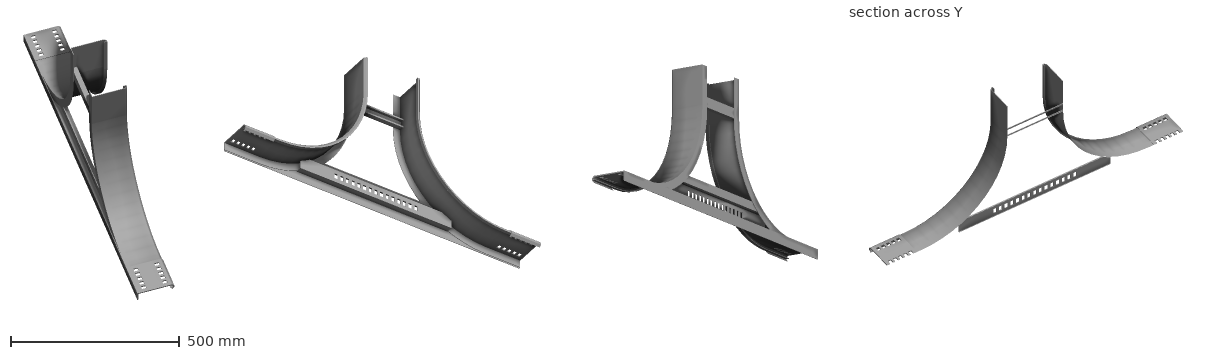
import cadquery as cq
import math


LENGTH = 1050.0
WIDTH = 115.0
HEIGHT = 456.0
SHEET = 1.9

BASE_HEIGHT = 32.0
END_PLATE_LENGTH = 105.0
HOOK_END_DROP = 6.0
SHELF_Z = 72.0
BAND_TOP_Z = 98.0
WALL_BACK_Y = 23.0
WALL_CLEARANCE = 2.0

HOLE_LENGTH = 10.0
HOLE_WIDTH = 14.0
HOLE_PITCH = 18.0
HOLES_PER_ROW = 5
HOLE_ROW_CENTER_X = -472.0
HOLE_ROWS_Y = (25.0, 91.0)

SLOT_COUNT = 15
SLOT_ROW_SPAN = 284.0
SLOT_WIDTH = 10.0
SLOT_HEIGHT = 17.0
SLOT_CENTER_Z = 51.0

RAIL_GAP = 200.0
WEB_RADIUS = 301.0
FRONT_LIP = 26.0
BEND_DROP = 6.0
BACK_LIP_DEPTH = 12.0
BACK_LIP_RETURN = 10.0

RUNG_BOTTOM_Z = 332.0
RUNG_HEIGHT = 32.0
RUNG_LIP = 5.0
RUNG_FRONT_Y = 6.0
RUNG_BACK_Y = 22.0

WEB_Z = BASE_HEIGHT - SHEET
RAIL_FRONT_Y = SHEET
RAIL_BACK_Y = WIDTH - SHEET
BEND_Y = RAIL_BACK_Y - BEND_DROP
WEB_X = -RAIL_GAP / 2
ARC_CENTER_X = WEB_X - WEB_RADIUS
ARC_CENTER_Z = WEB_Z + WEB_RADIUS
LIP_BACK_Y = RAIL_FRONT_Y + SHEET
BACK_LIP_Z = WEB_Z - BACK_LIP_DEPTH
RUNG_TOP_Z = RUNG_BOTTOM_Z + RUNG_HEIGHT

LIP_EDGE_RADIUS = WEB_RADIUS + FRONT_LIP
LIP_CROSSING = math.sqrt(LIP_EDGE_RADIUS**2 - (ARC_CENTER_Z - BASE_HEIGHT) ** 2)
STRIP_HALF = -(ARC_CENTER_X + LIP_CROSSING)


def sheet_outline(face, thickness):
    """Closed outline of a bent sheet lying to the left of an open polyline, with mitred bends."""
    normals = []
    for (x0, y0), (x1, y1) in zip(face, face[1:]):
        run = math.hypot(x1 - x0, y1 - y0)
        normals.append(((y0 - y1) / run, (x1 - x0) / run))
    before = normals[:1] + normals
    after = normals + normals[-1:]
    other_face = []
    for (x, y), (ax, ay), (bx, by) in zip(face, before, after):
        reach = thickness / (1 + ax * bx + ay * by)
        other_face.append((x + (ax + bx) * reach, y + (ay + by) * reach))
    return face + other_face[::-1]


def bent_sheet(face, x_start, x_end):
    """Bent sheet of one YZ section, straight along X."""
    section = cq.Workplane("YZ", origin=(x_start, 0, 0)).polyline(sheet_outline(face, SHEET)).close()
    return section.extrude(x_end - x_start)


def end_holes():
    """Cutters for the two rows of holes in the left end plate and the rail web under it."""
    first_x = HOLE_ROW_CENTER_X - HOLE_PITCH * (HOLES_PER_ROW - 1) / 2
    centers = [(first_x + i * HOLE_PITCH, row_y) for row_y in HOLE_ROWS_Y for i in range(HOLES_PER_ROW)]
    plate_top = cq.Workplane("XY", origin=(0, 0, BASE_HEIGHT))
    return plate_top.pushPoints(centers).rect(HOLE_LENGTH, HOLE_WIDTH).extrude(-2 * SHEET)


def make_rung():
    """Lipped channel, open toward the back, reaching the outer faces of both rail webs."""
    face = [
        (RUNG_BACK_Y, RUNG_BOTTOM_Z + RUNG_LIP),
        (RUNG_BACK_Y, RUNG_BOTTOM_Z),
        (RUNG_FRONT_Y, RUNG_BOTTOM_Z),
        (RUNG_FRONT_Y, RUNG_TOP_Z),
        (RUNG_BACK_Y, RUNG_TOP_Z),
        (RUNG_BACK_Y, RUNG_TOP_Z - RUNG_LIP),
    ]
    return bent_sheet(face[::-1], WEB_X, -WEB_X)


def make_left_rail(rung):
    """Curved rail: flat web, wide front lip and a folded back lip, swept from the foot to the riser."""
    face = [
        (RAIL_FRONT_Y, WEB_Z - FRONT_LIP),
        (RAIL_FRONT_Y, WEB_Z),
        (BEND_Y, WEB_Z),
        (RAIL_BACK_Y, WEB_Z - BEND_DROP),
        (RAIL_BACK_Y, BACK_LIP_Z),
        (RAIL_BACK_Y - BACK_LIP_RETURN, BACK_LIP_Z),
    ]
    diagonal = WEB_RADIUS * math.sqrt(0.5)
    path = (
        cq.Workplane("XZ")
        .moveTo(-LENGTH / 2, WEB_Z)
        .lineTo(ARC_CENTER_X, WEB_Z)
        .threePointArc((ARC_CENTER_X + diagonal, ARC_CENTER_Z - diagonal), (WEB_X, ARC_CENTER_Z))
        .lineTo(WEB_X, HEIGHT)
    )
    section = cq.Workplane("YZ", origin=(-LENGTH / 2, 0, 0))
    rail = section.polyline(sheet_outline(face[::-1], SHEET)).close().sweep(path)
    return rail.cut(end_holes()).cut(rung)


def make_left_end_plate():
    """End plate lying on the foot of the left rail, with a hook folded around the back lip."""
    face = [
        (RAIL_FRONT_Y, 0),
        (RAIL_FRONT_Y, WEB_Z),
        (BEND_Y, WEB_Z),
        (RAIL_BACK_Y, WEB_Z - BEND_DROP),
        (RAIL_BACK_Y, BACK_LIP_Z),
        (RAIL_BACK_Y - HOOK_END_DROP, BACK_LIP_Z - HOOK_END_DROP),
    ]
    x_start = -LENGTH / 2
    return bent_sheet(face, x_start, x_start + END_PLATE_LENGTH).cut(end_holes())


def make_slotted_wall():
    """Strip, slotted wall, shelf and upper band between the rails, trimmed just clear of the rail webs."""
    face = [
        (0, WEB_Z),
        (WALL_BACK_Y, WEB_Z),
        (WALL_BACK_Y, SHELF_Z + SHEET),
        (LIP_BACK_Y + SHEET, SHELF_Z + SHEET),
        (LIP_BACK_Y + SHEET, BAND_TOP_Z),
    ]
    wall = bent_sheet(face, -STRIP_HALF, STRIP_HALF)
    slots = (
        cq.Workplane("XZ", origin=(0, 0, SLOT_CENTER_Z))
        .rarray(SLOT_ROW_SPAN / (SLOT_COUNT - 1), 10, SLOT_COUNT, 1)
        .rect(SLOT_WIDTH, SLOT_HEIGHT)
        .extrude(-WALL_BACK_Y)
    )
    rail_rounds = (
        cq.Workplane("XZ", origin=(0, 0, ARC_CENTER_Z))
        .pushPoints([(ARC_CENTER_X, 0), (-ARC_CENTER_X, 0)])
        .circle(WEB_RADIUS + SHEET + WALL_CLEARANCE)
        .extrude(-WIDTH)
    )
    return wall.cut(slots).cut(rail_rounds)


def make_base_rail():
    """Full-length front flange joined to both end plates and to the slotted wall."""
    flange = cq.Workplane("XY").box(LENGTH, SHEET, BASE_HEIGHT, centered=(True, False, False))
    end_plate = make_left_end_plate()
    return flange.union(end_plate).union(end_plate.mirror("YZ")).union(make_slotted_wall())


cross_rung = make_rung()
left_rail = make_left_rail(cross_rung)
right_rail = left_rail.mirror("YZ")
base_rail = make_base_rail()

bodies = [base_rail, left_rail, right_rail, cross_rung]
result = cq.Compound.makeCompound([body.solids().val() for body in bodies])